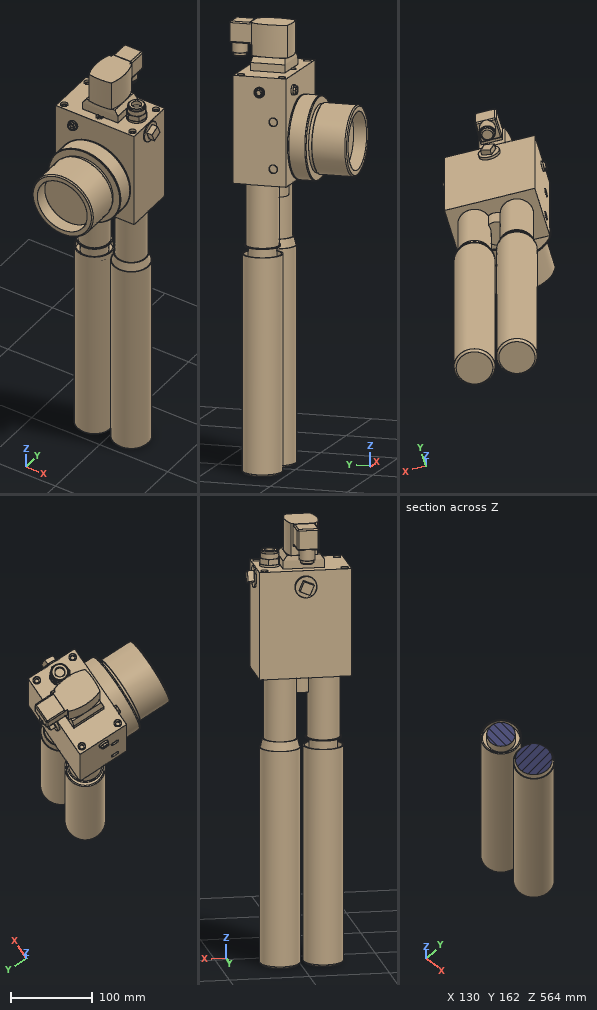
import cadquery as cq
import math

BLOCK_X = 115.5
BLOCK_Y = 69.0
BLOCK_Z = 136.5

PORT_Z = 51.5
FLANGE_DIAMETER = 106.0
FLANGE_EDGE_DIAMETER = 105.0
FLANGE_EDGE_WIDTH = 1.5
FLANGE_END = 24.0
NECK_DIAMETER = 86.0
NECK_END = 29.0
CUP_DIAMETER = 89.0
CUP_END = 73.5
CUP_BORE_DIAMETER = 73.5
CUP_BORE_DEPTH = 17.0
CUP_CHAMFER = 1.5

STUB_DIAMETER = 32.5
STUB_LENGTH = 23.5
STUB_Y = -1.5

FOOT_X = 52.0
FOOT_Y = 44.5
FOOT_STRAIGHT = 10.0
FOOT_TOP_X = 42.0
FOOT_TOP_Y = 42.5
COIL_BOTTOM = 17.0
COIL_TOP = 58.0
COIL_CORNER_X = 33.0
COIL_BULGE_X = 42.0
COIL_BACK_Y = 23.5
COIL_FRONT_CORNER_Y = -22.5
COIL_FRONT_Y = -24.0
PLUG_WIDTH = 27.5
PLUG_COLLAR_HEIGHT = 29.0
PLUG_COLLAR_END = 27.0
PLUG_HEIGHT = 27.0
PLUG_END = 54.0
PLUG_TOP_STEP = 0.5
PLUG_CHAMFER = 1.5
GLAND_DIAMETER = 20.0
GLAND_LENGTH = 13.5
GLAND_TIP_DIAMETER = 17.0
GLAND_TIP_LENGTH = 5.0
GLAND_TIP_CHAMFER = 1.5

SOCKET_X = 39.0
SOCKET_WASHER_DIAMETER = 25.0
SOCKET_WASHER_HEIGHT = 3.0
SOCKET_HEX_ACROSS = 23.0
SOCKET_HEX_TURN = math.radians(15)
SOCKET_HEX_TOP = 10.0
SOCKET_BARREL_DIAMETER = 22.5
SOCKET_BARREL_TOP = 17.0
SOCKET_RIM_DIAMETER = 21.5
SOCKET_RIM_CHAMFER = 1.0
SOCKET_TOP = 20.5
SOCKET_BORE_DIAMETER = 12.5
SOCKET_BORE_DEPTH = 5.5

SCREW_HOLE_X = 50.0
SCREW_HOLE_Y = 26.5
SCREW_HOLE_DIAMETER = 9.0
SCREW_HOLE_DEPTH = 3.5
SCREW_SOCKET_DIAMETER = 5.5
SCREW_SOCKET_DEPTH = 7.0
VENT_HOLE_Y = -23.5

SIDE_HOLE_DIAMETER = 10.5
SIDE_HOLE_DEPTH = 2.0
SIDE_HOLE_Y = -17.5
SIDE_HOLE_HEIGHTS = (21.5, 80.5)

SMALL_PLUG_Z = 117.5
SMALL_PLUG_X = -31.5
SMALL_PLUG_DIAMETER = 13.0
SMALL_PLUG_COLLAR = 2.0
SMALL_PLUG_TIP_DIAMETER = 10.5
SMALL_PLUG_HEIGHT = 5.0
SMALL_PLUG_SOCKET_ACROSS = 7.0
SMALL_PLUG_SOCKET_DEPTH = 3.0

LARGE_PLUG_WASHER_DIAMETER = 27.0
LARGE_PLUG_SQUARE = 13.5
LARGE_PLUG_TURN = 23
RIGHT_PLUG_Z = 123.0
RIGHT_PLUG_WASHER = 1.5
RIGHT_PLUG_HEIGHT = 9.5
BACK_PLUG_Z = 116.0
BACK_PLUG_WASHER = 3.5
BACK_PLUG_HEIGHT = 10.0

TUBE_Y = 6.0
TUBE_X = 27.0
TUBE_DIAMETER = 41.0
TUBE_END = 82.0
SLEEVE_START = 93.0
SLEEVE_END = 369.5
SLEEVE_CHAMFER = 3.0
LEFT_NECK_DIAMETER = 35.5
LEFT_SLEEVE_DIAMETER = 50.0
LEFT_RIM_DIAMETER = 44.5
LEFT_RIM_THICKNESS = 1.0
LEFT_RECESS_DIAMETER = 47.0
LEFT_RECESS_DEPTH = 7.5
RIGHT_SLEEVE_DIAMETER = 51.0
RIGHT_SHOULDER_TOP_DIAMETER = 43.5
RIGHT_SHOULDER_BOTTOM_DIAMETER = 49.0


def disc(plane, diameter, start, end):
    return cq.Workplane(plane).workplane(offset=start).circle(diameter / 2).extrude(end - start)


def hexagon(plane, across_flats, start, end):
    across_corners = across_flats / math.cos(math.pi / 6)
    return cq.Workplane(plane).workplane(offset=start).polygon(6, across_corners).extrude(end - start)


def face_plane(origin, x_dir, normal):
    return cq.Plane(origin=origin, xDir=x_dir, normal=normal)


top_plane = face_plane((0, 0, BLOCK_Z), (1, 0, 0), (0, 0, 1))


def front_port():
    plane = face_plane((0, -BLOCK_Y / 2, PORT_Z), (1, 0, 0), (0, -1, 0))
    flange = disc(plane, FLANGE_DIAMETER, FLANGE_EDGE_WIDTH, FLANGE_END - FLANGE_EDGE_WIDTH)
    flange_edges = disc(plane, FLANGE_EDGE_DIAMETER, 0, FLANGE_END)
    neck = disc(plane, NECK_DIAMETER, 0, NECK_END)
    cup = disc(plane, CUP_DIAMETER, NECK_END, CUP_END).faces("<Y").chamfer(CUP_CHAMFER)
    bore = disc(plane, CUP_BORE_DIAMETER, CUP_END - CUP_BORE_DEPTH, CUP_END)
    return flange.union(flange_edges).union(neck).union(cup).cut(bore)


def solenoid():
    foot = cq.Workplane(top_plane).rect(FOOT_X, FOOT_Y).extrude(FOOT_STRAIGHT)
    taper = (
        cq.Workplane(top_plane).workplane(offset=FOOT_STRAIGHT).rect(FOOT_X, FOOT_Y)
        .workplane(offset=COIL_BOTTOM - FOOT_STRAIGHT).rect(FOOT_TOP_X, FOOT_TOP_Y).loft()
    )
    corner_x = COIL_CORNER_X / 2
    side_x = COIL_BULGE_X / 2
    side_y = (COIL_BACK_Y + COIL_FRONT_CORNER_Y) / 2
    coil = (
        cq.Workplane(top_plane).workplane(offset=COIL_BOTTOM)
        .moveTo(-corner_x, COIL_BACK_Y)
        .lineTo(corner_x, COIL_BACK_Y)
        .threePointArc((side_x, side_y), (corner_x, COIL_FRONT_CORNER_Y))
        .threePointArc((0, COIL_FRONT_Y), (-corner_x, COIL_FRONT_CORNER_Y))
        .threePointArc((-side_x, side_y), (-corner_x, COIL_BACK_Y))
        .close().extrude(COIL_TOP - COIL_BOTTOM)
    )
    return foot.union(taper).union(coil).union(cable_plug())


def cable_plug():
    top = BLOCK_Z + COIL_TOP
    collar = cq.Workplane().box(
        PLUG_WIDTH, PLUG_COLLAR_END, PLUG_COLLAR_HEIGHT, centered=(True, False, False)
    ).translate((0, 0, top - PLUG_COLLAR_HEIGHT))
    body_bottom = top - PLUG_TOP_STEP - PLUG_HEIGHT
    body = cq.Workplane().box(
        PLUG_WIDTH, PLUG_END, PLUG_HEIGHT, centered=(True, False, False)
    ).translate((0, 0, body_bottom))
    body = body.edges("|Y or >Y").chamfer(PLUG_CHAMFER)
    gland_plane = face_plane((0, PLUG_END - GLAND_DIAMETER / 2, body_bottom), (1, 0, 0), (0, 0, -1))
    gland = disc(gland_plane, GLAND_DIAMETER, -PLUG_CHAMFER, GLAND_LENGTH)
    tip = disc(gland_plane, GLAND_TIP_DIAMETER, GLAND_LENGTH, GLAND_LENGTH + GLAND_TIP_LENGTH)
    tip = tip.faces("<Z").chamfer(GLAND_TIP_CHAMFER)
    return collar.union(body).union(gland).union(tip)


def round_socket():
    corner_direction = (math.cos(SOCKET_HEX_TURN), math.sin(SOCKET_HEX_TURN), 0)
    plane = face_plane((SOCKET_X, 0, BLOCK_Z), corner_direction, (0, 0, 1))
    washer = disc(plane, SOCKET_WASHER_DIAMETER, 0, SOCKET_WASHER_HEIGHT)
    nut = hexagon(plane, SOCKET_HEX_ACROSS, SOCKET_WASHER_HEIGHT, SOCKET_HEX_TOP)
    barrel = disc(plane, SOCKET_BARREL_DIAMETER, SOCKET_HEX_TOP, SOCKET_BARREL_TOP)
    rim = disc(plane, SOCKET_RIM_DIAMETER, SOCKET_BARREL_TOP, SOCKET_TOP)
    rim = rim.faces(">Z").chamfer(SOCKET_RIM_CHAMFER)
    bore = disc(plane, SOCKET_BORE_DIAMETER, SOCKET_TOP - SOCKET_BORE_DEPTH, SOCKET_TOP)
    return washer.union(nut).union(barrel).union(rim).cut(bore)


def top_holes():
    points = [(x, y) for x in (-SCREW_HOLE_X, SCREW_HOLE_X) for y in (-SCREW_HOLE_Y, SCREW_HOLE_Y)]
    points.append((0, VENT_HOLE_Y))
    places = cq.Workplane(top_plane).pushPoints(points)
    counterbores = places.circle(SCREW_HOLE_DIAMETER / 2).extrude(-SCREW_HOLE_DEPTH)
    sockets = places.circle(SCREW_SOCKET_DIAMETER / 2).extrude(-SCREW_SOCKET_DEPTH)
    return counterbores.union(sockets)


def side_holes():
    plane = face_plane((-BLOCK_X / 2, 0, 0), (0, -1, 0), (-1, 0, 0))
    points = [(-SIDE_HOLE_Y, z) for z in SIDE_HOLE_HEIGHTS]
    return cq.Workplane(plane).pushPoints(points).circle(SIDE_HOLE_DIAMETER / 2).extrude(-SIDE_HOLE_DEPTH)


def small_plug(plane):
    collar = disc(plane, SMALL_PLUG_DIAMETER, 0, SMALL_PLUG_COLLAR)
    tip = disc(plane, SMALL_PLUG_TIP_DIAMETER, SMALL_PLUG_COLLAR, SMALL_PLUG_HEIGHT)
    socket = hexagon(
        plane, SMALL_PLUG_SOCKET_ACROSS, SMALL_PLUG_HEIGHT - SMALL_PLUG_SOCKET_DEPTH, SMALL_PLUG_HEIGHT
    )
    return collar.union(tip).cut(socket)


def large_plug(plane, washer_height, height, turn):
    washer = disc(plane, LARGE_PLUG_WASHER_DIAMETER, 0, washer_height)
    head = (
        cq.Workplane(plane).workplane(offset=washer_height)
        .rect(LARGE_PLUG_SQUARE, LARGE_PLUG_SQUARE).extrude(height - washer_height)
        .rotate(plane.origin, plane.origin + plane.zDir, turn)
    )
    return washer.union(head)


def tube_plane(x):
    return face_plane((x, TUBE_Y, 0), (1, 0, 0), (0, 0, -1))


def make_housing():
    housing = cq.Workplane().box(BLOCK_X, BLOCK_Y, BLOCK_Z, centered=(True, True, False))
    housing = housing.cut(top_holes()).cut(side_holes())
    stub_plane = face_plane((0, STUB_Y, 0), (1, 0, 0), (0, 0, -1))
    left_plane = face_plane((-BLOCK_X / 2, 0, SMALL_PLUG_Z), (0, -1, 0), (-1, 0, 0))
    front_plane = face_plane((SMALL_PLUG_X, -BLOCK_Y / 2, SMALL_PLUG_Z), (1, 0, 0), (0, -1, 0))
    right_plane = face_plane((BLOCK_X / 2, 0, RIGHT_PLUG_Z), (0, 1, 0), (1, 0, 0))
    back_plane = face_plane((0, BLOCK_Y / 2, BACK_PLUG_Z), (-1, 0, 0), (0, 1, 0))
    fittings = [
        front_port(),
        solenoid(),
        round_socket(),
        disc(stub_plane, STUB_DIAMETER, 0, STUB_LENGTH),
        disc(tube_plane(-TUBE_X), TUBE_DIAMETER, 0, TUBE_END),
        disc(tube_plane(TUBE_X), TUBE_DIAMETER, 0, TUBE_END),
        small_plug(left_plane),
        small_plug(front_plane),
        large_plug(right_plane, RIGHT_PLUG_WASHER, RIGHT_PLUG_HEIGHT, LARGE_PLUG_TURN),
        large_plug(back_plane, BACK_PLUG_WASHER, BACK_PLUG_HEIGHT, -LARGE_PLUG_TURN),
    ]
    for fitting in fittings:
        housing = housing.union(fitting)
    return housing


def make_sleeve(plane, diameter):
    return disc(plane, diameter, SLEEVE_START, SLEEVE_END).faces("<Z").chamfer(SLEEVE_CHAMFER)


def make_left_cylinder():
    plane = tube_plane(-TUBE_X)
    recess_floor = SLEEVE_START + LEFT_RECESS_DEPTH
    recess = disc(plane, LEFT_RECESS_DIAMETER, SLEEVE_START, recess_floor)
    sleeve = make_sleeve(plane, LEFT_SLEEVE_DIAMETER).cut(recess)
    rim = disc(plane, LEFT_RIM_DIAMETER, TUBE_END, TUBE_END + LEFT_RIM_THICKNESS)
    neck = disc(plane, LEFT_NECK_DIAMETER, TUBE_END, recess_floor)
    return rim.union(neck).union(sleeve)


def make_right_cylinder():
    plane = tube_plane(TUBE_X)
    shoulder = (
        cq.Workplane(plane).workplane(offset=TUBE_END).circle(RIGHT_SHOULDER_TOP_DIAMETER / 2)
        .workplane(offset=SLEEVE_START - TUBE_END).circle(RIGHT_SHOULDER_BOTTOM_DIAMETER / 2).loft()
    )
    return shoulder.union(make_sleeve(plane, RIGHT_SLEEVE_DIAMETER))


housing = make_housing()
left_cylinder = make_left_cylinder()
right_cylinder = make_right_cylinder()
result = cq.Compound.makeCompound([housing.val(), left_cylinder.val(), right_cylinder.val()])